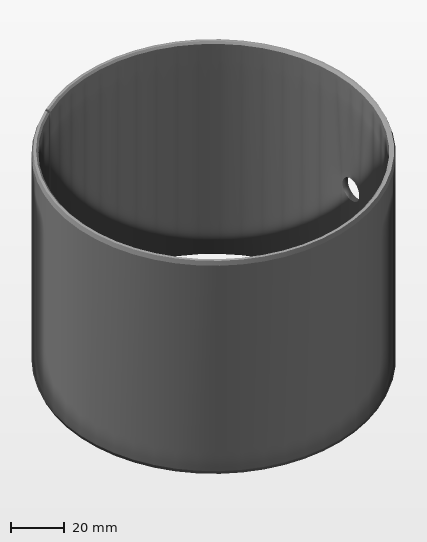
import cadquery as cq
import math

OUTER_DIAMETER = 135.0
WALL_THICKNESS = 2.5
LENGTH = 100.0

OUTER_CHAMFER_LENGTH = 1.8
OUTER_CHAMFER_ANGLE = 20.0
INNER_CHAMFER = 0.8

JOINT_ANGLE = 1.0
OIL_HOLE_DIAMETER = 10.0
OIL_HOLE_FROM_JOINT = 120.0

outer_radius = OUTER_DIAMETER / 2
inner_radius = outer_radius - WALL_THICKNESS
outer_chamfer_depth = OUTER_CHAMFER_LENGTH * math.tan(math.radians(OUTER_CHAMFER_ANGLE))
oil_hole_angle = 180 - JOINT_ANGLE - OIL_HOLE_FROM_JOINT


def make_split_sleeve():
    """Revolve the wall section from -X through -Y, stopping short to leave the joint open."""
    inner_edge = inner_radius + INNER_CHAMFER
    outer_edge = outer_radius - outer_chamfer_depth
    section = [
        (-inner_radius, INNER_CHAMFER),
        (-inner_edge, 0),
        (-outer_edge, 0),
        (-outer_radius, OUTER_CHAMFER_LENGTH),
        (-outer_radius, LENGTH - OUTER_CHAMFER_LENGTH),
        (-outer_edge, LENGTH),
        (-inner_edge, LENGTH),
        (-inner_radius, LENGTH - INNER_CHAMFER),
    ]
    profile = cq.Workplane("XZ").polyline(section).close()
    return profile.revolve(360 - JOINT_ANGLE, (0, 0, 0), (0, 1, 0))


def make_oil_hole_cutter():
    """Radial cylinder from the axis out through the wall at mid-length."""
    pin = cq.Workplane("YZ").circle(OIL_HOLE_DIAMETER / 2).extrude(OUTER_DIAMETER)
    return pin.rotate((0, 0, 0), (0, 0, 1), oil_hole_angle).translate((0, 0, LENGTH / 2))


result = make_split_sleeve().cut(make_oil_hole_cutter())